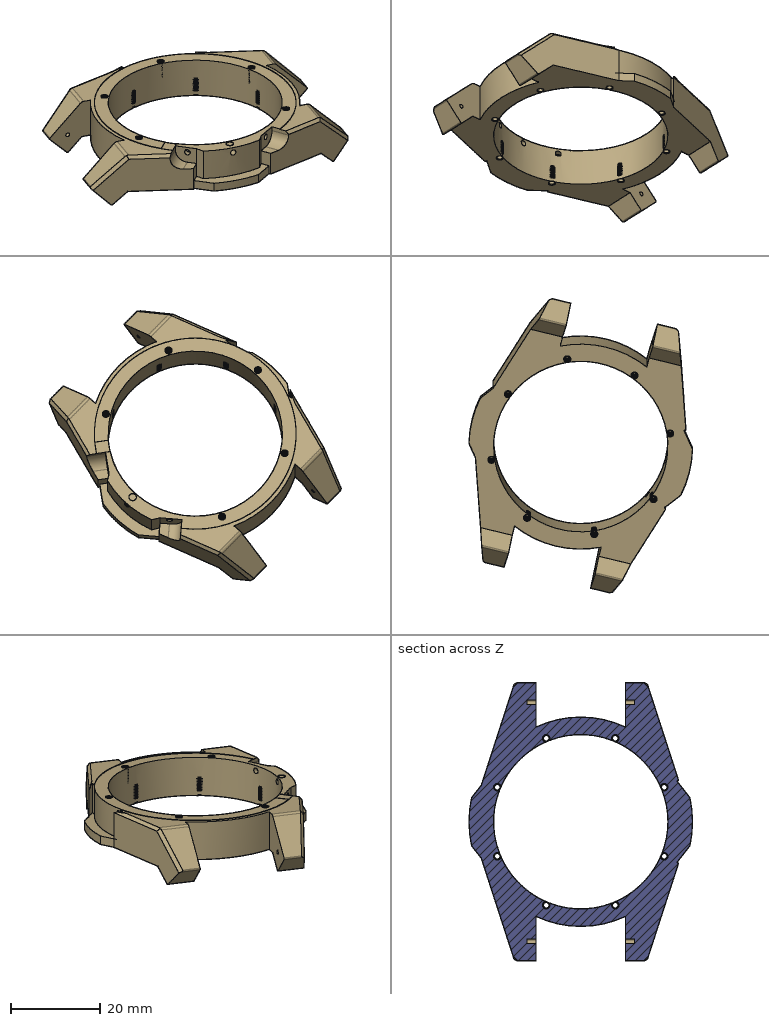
import math

import cadquery as cq


TOTAL_WIDTH = 50.18
TOTAL_LENGTH = 62.39
TOTAL_HEIGHT = 12.38

OUTER_REACH = 32.0
PICK_MARGIN = 1.0

BORE_DIAMETER = 39.05
BODY_RADIUS = 23.5
SEAT_RADIUS = 22.63
SEAT_STEP = 0.1
LUG_DROP = 3.3
SEAT_TOP = TOTAL_HEIGHT - LUG_DROP
BODY_TOP = SEAT_TOP - SEAT_STEP

LUG_INNER_X = 10.0
LUG_ROOT_Y = 5.0
LUG_TIP_Y = TOTAL_LENGTH / 2
LUG_TIP_X = 14.85
LUG_SIDE_ANGLE = math.radians(18)
LUG_SHOULDER_Y = 23.4
LUG_CORNER_FILLET = 0.3
LUG_SHOULDER_FILLET = 1.1
LUG_CHAMFER = 0.7

FLANGE_RADIUS = TOTAL_WIDTH / 2
FLANGE_HEIGHT = 2.03
PUSHER_ANGLE = 38.0
CLEARANCE_INNER_X = 20.9

POCKET_WALL = 20.55
POCKET_NEAR = -6.15
POCKET_FAR = -1.2
POCKET_DEPTH = 3.78
POCKET_FLOOR = SEAT_TOP - POCKET_DEPTH
POCKET_CORNER_RADIUS = 2.8
PUSHER_OFFSET = POCKET_FAR - POCKET_CORNER_RADIUS
RELIEF_WALL = 21.25
RELIEF_NEAR = -8.1

STRIP_NEAR = POCKET_FAR
STRIP_WIDTH = 2.7
STRIP_DEPTH = SEAT_STEP / 2

THREAD_MINOR = 1.25
THREAD_MAJOR = 1.6
THREAD_PITCH = 0.35
BEZEL_SCREW_CIRCLE = 20.58
BEZEL_SCREW_COUNT = 6
BEZEL_SCREW_DEPTH = 4.0
INDEX_HOLE_DIAMETER = 1.67
INDEX_HOLE_DEPTH = SEAT_STEP
BACK_SCREW_CIRCLE = 20.26
BACK_SCREW_COUNT = 8
BACK_SCREW_DEPTH = 4.4
BACK_THREAD_START = 1.05
STEM_HOLE_DIAMETER = 1.27
STEM_HOLE_Z = SEAT_TOP - 1.25
SPRING_BAR_DIAMETER = 0.9
SPRING_BAR_DEPTH = 2.0
SPRING_BAR_Y = 26.8
SPRING_BAR_Z = 1.2


def disc(radius, height):
    return cq.Workplane("XY").circle(radius).extrude(height)


def prism(points, bottom, top):
    return cq.Workplane("XY").workplane(offset=bottom).polyline(points).close().extrude(top - bottom)


def pusher_point(along, across):
    """Plan point at a distance along the upper pusher axis and across it."""
    angle = math.radians(PUSHER_ANGLE)
    x = along * math.cos(angle) - across * math.sin(angle)
    y = along * math.sin(angle) + across * math.cos(angle)
    return (x, y)


def mirrored_pair(solid):
    return solid.union(solid.mirror("XZ"))


def lug():
    """The lug on the +X, +Y side."""
    round_loss = LUG_CORNER_FILLET * (math.sqrt(2) - 1)
    tip_y = LUG_TIP_Y + round_loss
    tip_z = BODY_TOP - (tip_y - LUG_SHOULDER_Y)
    heel_z = -LUG_DROP - round_loss
    heel_y = tip_y - (tip_z - heel_z)
    profile = [
        (LUG_ROOT_Y, 0),
        (LUG_ROOT_Y, BODY_TOP),
        (LUG_SHOULDER_Y, BODY_TOP),
        (tip_y, tip_z),
        (heel_y, heel_z),
        (heel_y + heel_z, 0),
    ]
    arm = cq.Workplane("YZ").polyline(profile).close().extrude(OUTER_REACH)

    slope = math.tan(LUG_SIDE_ANGLE)
    plan = [
        (LUG_INNER_X, LUG_ROOT_Y),
        (LUG_INNER_X, OUTER_REACH),
        (LUG_TIP_X + (LUG_TIP_Y - OUTER_REACH) * slope, OUTER_REACH),
        (LUG_TIP_X + (LUG_TIP_Y - LUG_ROOT_Y) * slope, LUG_ROOT_Y),
    ]
    solid = arm.intersect(prism(plan, -TOTAL_HEIGHT, TOTAL_HEIGHT))

    side_normal = cq.Vector(math.cos(LUG_SIDE_ANGLE), math.sin(LUG_SIDE_ANGLE), 0)
    side_face = solid.faces(cq.selectors.DirectionMinMaxSelector(side_normal))
    upper_edges = cq.selectors.BoxSelector(
        (0, LUG_ROOT_Y + PICK_MARGIN, FLANGE_HEIGHT), (OUTER_REACH, OUTER_REACH, TOTAL_HEIGHT)
    )
    solid = side_face.edges(upper_edges).chamfer(LUG_CHAMFER)

    solid = solid.edges("|X").edges(">Y or <Z").fillet(LUG_CORNER_FILLET)
    shoulder = cq.selectors.BoxSelector(
        (0, LUG_SHOULDER_Y - PICK_MARGIN, BODY_TOP - PICK_MARGIN),
        (OUTER_REACH, LUG_SHOULDER_Y + PICK_MARGIN, BODY_TOP + PICK_MARGIN),
    )
    solid = solid.edges("|X").edges(shoulder).fillet(LUG_SHOULDER_FILLET)

    spring_bar_hole = (
        cq.Workplane("YZ", origin=(LUG_INNER_X, 0, 0))
        .center(SPRING_BAR_Y, SPRING_BAR_Z)
        .circle(SPRING_BAR_DIAMETER / 2)
        .extrude(SPRING_BAR_DEPTH)
    )
    return solid.cut(spring_bar_hole)


def flange_outline():
    """Triangle on the -X side, bounded by flange sides tangent to the seat."""
    angle = math.radians(PUSHER_ANGLE)
    apex_x = SEAT_RADIUS / math.cos(angle)
    half_width = (apex_x - CLEARANCE_INNER_X) / math.tan(angle)
    return [(-CLEARANCE_INNER_X, half_width), (-apex_x, 0), (-CLEARANCE_INNER_X, -half_width)]


def right_clearance():
    """Gap between the ends of the two +X lugs."""
    inner = pusher_point(POCKET_WALL, POCKET_NEAR)
    outer = pusher_point(OUTER_REACH, POCKET_NEAR)
    points = [inner, outer, (outer[0], -outer[1]), (inner[0], -inner[1])]
    return prism(points, 0, BODY_TOP)


def flanges():
    left = prism(flange_outline(), 0, FLANGE_HEIGHT).intersect(disc(FLANGE_RADIUS, FLANGE_HEIGHT))
    return left.union(left.mirror("YZ"))


def pusher_pocket():
    """Pocket at the upper pusher: flat floor, rounded far corner, deeper relief beside it."""
    width = POCKET_FAR - POCKET_NEAR
    pocket = (
        cq.Workplane("XY")
        .box(OUTER_REACH - POCKET_WALL, width, TOTAL_HEIGHT, centered=False)
        .edges("|X and >Y and <Z")
        .fillet(POCKET_CORNER_RADIUS)
        .translate((POCKET_WALL, POCKET_NEAR, POCKET_FLOOR))
        .rotate((0, 0, 0), (0, 0, 1), PUSHER_ANGLE)
    )
    relief = [
        pusher_point(POCKET_WALL, POCKET_NEAR),
        pusher_point(RELIEF_WALL, RELIEF_NEAR),
        pusher_point(OUTER_REACH, RELIEF_NEAR),
        pusher_point(OUTER_REACH, POCKET_NEAR),
    ]
    return pocket.union(prism(relief, FLANGE_HEIGHT, TOTAL_HEIGHT))


def seat_strip():
    """Shallow step across the seat, beside the lower pusher pocket."""
    strip = (
        cq.Workplane("XY")
        .box(SEAT_RADIUS, STRIP_WIDTH, STRIP_DEPTH, centered=False)
        .translate((0, STRIP_NEAR, SEAT_TOP - STRIP_DEPTH))
        .rotate((0, 0, 0), (0, 0, 1), PUSHER_ANGLE)
        .mirror("XZ")
    )
    return strip.intersect(disc(SEAT_RADIUS, SEAT_TOP))


def threaded_hole(depth, thread_start):
    """Upward cutter with a chamfered mouth at Z = 0 and ring grooves standing in for the thread."""
    minor = THREAD_MINOR / 2
    major = THREAD_MAJOR / 2
    turns = int((depth - thread_start) / THREAD_PITCH)
    outline = [(0, 0), (major, 0), (minor, THREAD_PITCH / 2)]
    for turn in range(turns):
        groove_z = thread_start + turn * THREAD_PITCH
        outline.append((minor, groove_z))
        outline.append((major, groove_z + THREAD_PITCH / 2))
    outline.append((minor, thread_start + turns * THREAD_PITCH))
    outline.append((minor, depth))
    outline.append((0, depth))
    return cq.Workplane("XZ").polyline(outline).close().revolve(360, (0, 0, 0), (0, 1, 0))


def cut_bezel_holes(case):
    """Threaded holes in the seat, with a plain shallow index hole at the +X position."""
    index_hole = (
        cq.Workplane("XY")
        .workplane(offset=SEAT_TOP - INDEX_HOLE_DEPTH)
        .center(BEZEL_SCREW_CIRCLE, 0)
        .circle(INDEX_HOLE_DIAMETER / 2)
        .extrude(INDEX_HOLE_DEPTH)
    )
    case = case.cut(index_hole)
    screw = threaded_hole(BEZEL_SCREW_DEPTH, THREAD_PITCH)
    screw = screw.rotate((0, 0, 0), (1, 0, 0), 180).translate((BEZEL_SCREW_CIRCLE, 0, SEAT_TOP))
    for index in range(1, BEZEL_SCREW_COUNT):
        case = case.cut(screw.rotate((0, 0, 0), (0, 0, 1), index * 360 / BEZEL_SCREW_COUNT))
    return case


def cut_back_holes(case):
    """Case-back screw holes; their thread roots just break into the bore."""
    screw = threaded_hole(BACK_SCREW_DEPTH, BACK_THREAD_START).translate((BACK_SCREW_CIRCLE, 0, 0))
    spacing = 360 / BACK_SCREW_COUNT
    for index in range(BACK_SCREW_COUNT):
        case = case.cut(screw.rotate((0, 0, 0), (0, 0, 1), (index + 0.5) * spacing))
    return case


def cut_stem_holes(case):
    """Radial holes for the crown stem and the two pushers."""
    stem = cq.Workplane("YZ").center(0, STEM_HOLE_Z).circle(STEM_HOLE_DIAMETER / 2).extrude(OUTER_REACH)
    pusher = stem.translate((0, PUSHER_OFFSET, 0)).rotate((0, 0, 0), (0, 0, 1), PUSHER_ANGLE)
    return case.cut(stem).cut(mirrored_pair(pusher))


lug_pair = mirrored_pair(lug())
case = disc(BODY_RADIUS, BODY_TOP).union(lug_pair).union(lug_pair.mirror("YZ"))
case = case.cut(prism(flange_outline(), 0, BODY_TOP)).cut(right_clearance())
case = case.union(disc(SEAT_RADIUS, SEAT_TOP)).union(flanges())
case = case.cut(mirrored_pair(pusher_pocket())).cut(seat_strip())
case = case.cut(disc(BORE_DIAMETER / 2, SEAT_TOP))
case = cut_bezel_holes(case)
case = cut_back_holes(case)
result = cut_stem_holes(case)